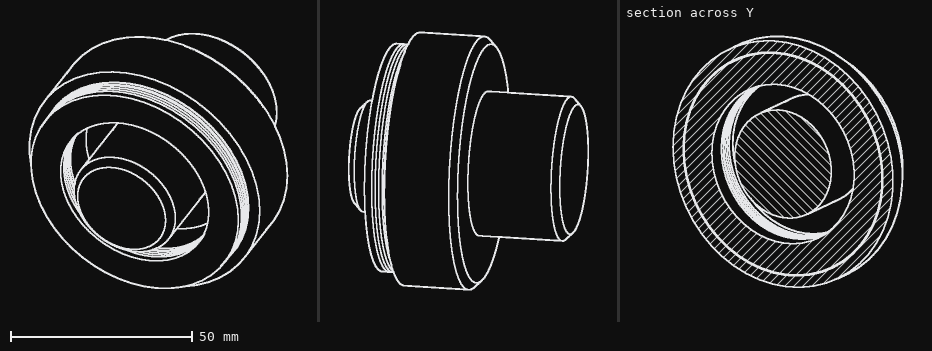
import cadquery as cq


housing_diameter = 70.0
housing_length = 20.15
bore_diameter = 63.3
bore_depth = 10.15
chamfer = 2.0

shank_diameter = 39.9
shank_length = 25.5

pin_diameter = 30.8
pin_reach = 15.0

ring_diameter = 63.0
ring_bore = 45.0
ring_gap = 1.0
ring_thicknesses = [0.5, 1.0, 2.0]
inner_ring_length = bore_depth


def cylinder(diameter, start, length):
    """Solid cylinder from Y = start towards +Y."""
    plane = cq.Workplane("XZ", origin=(0, start, 0))
    return plane.circle(diameter / 2).extrude(-length)


def make_housing():
    """Chamfered drum with a chamfered shank behind and a blind bore in front."""
    drum = cylinder(housing_diameter, 0, housing_length).faces(">Y").chamfer(chamfer)
    shank = cylinder(shank_diameter, housing_length, shank_length).faces(">Y").chamfer(chamfer)
    return drum.union(shank).cut(cylinder(bore_diameter, 0, bore_depth))


def make_pin():
    """Plain pin with a chamfered tip."""
    return cylinder(pin_diameter, -pin_reach, pin_reach + bore_depth).faces("<Y").chamfer(chamfer)


def make_ring(start, length):
    """Flat ring from Y = start towards +Y."""
    return cylinder(ring_diameter, start, length).cut(cylinder(ring_bore, start, length))


def make_front_rings():
    """Evenly gapped rings in front of the housing, thinnest nearest to it."""
    rings = []
    position = 0
    for thickness in ring_thicknesses:
        position -= ring_gap + thickness
        rings.append(make_ring(position, thickness).val())
    return rings


housing = make_housing()
pin = make_pin()
inner_ring = make_ring(0, inner_ring_length)
front_rings = make_front_rings()

result = cq.Compound.makeCompound([housing.val(), pin.val(), inner_ring.val(), *front_rings])